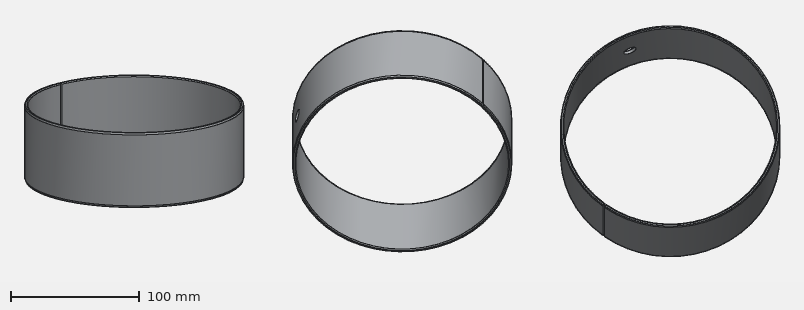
import cadquery as cq

outer_diameter = 170.0
height = 60.0
wall = 2.5

bevel_height = 1.5
bevel_depth = 0.5

inner_chamfer = 0.8

gap_angle = 1.0
sweep_angle = 360 - gap_angle
sweep_start = 180.0

hole_diameter = 10.0
hole_angle = 59.0
hole_height = height / 2

outer_radius = outer_diameter / 2


def make_split_ring():
    """Revolve the wall section, with its four corners bevelled, about Z."""
    inner_radius = outer_radius - wall
    rim_outer_radius = outer_radius - bevel_depth
    rim_inner_radius = inner_radius + inner_chamfer
    section = cq.Workplane("XZ").polyline(
        [
            (inner_radius, inner_chamfer),
            (rim_inner_radius, 0),
            (rim_outer_radius, 0),
            (outer_radius, bevel_height),
            (outer_radius, height - bevel_height),
            (rim_outer_radius, height),
            (rim_inner_radius, height),
            (inner_radius, height - inner_chamfer),
        ]
    )
    ring = section.close().revolve(sweep_angle, (0, 0), (0, 1))
    return ring.rotate((0, 0, 0), (0, 0, 1), sweep_start)


def make_radial_hole():
    drill = cq.Workplane("YZ").center(0, hole_height).circle(hole_diameter / 2).extrude(outer_radius)
    return drill.rotate((0, 0, 0), (0, 0, 1), hole_angle)


result = make_split_ring().cut(make_radial_hole())